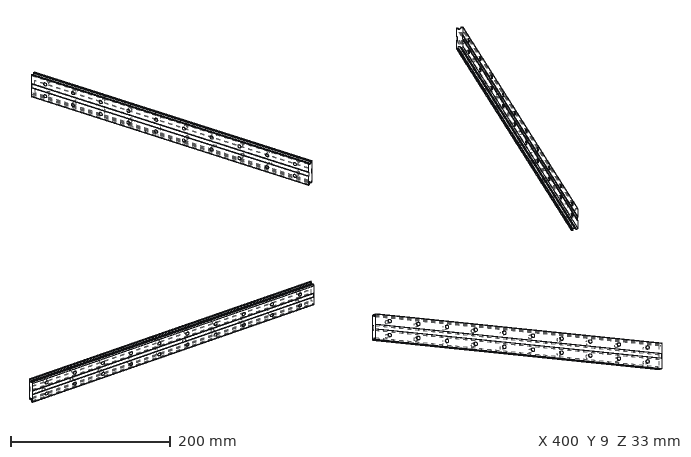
import cadquery as cq

length = 400.0
thickness = 9.0
height = 33.0
half_thickness = thickness / 2
half_height = height / 2

face_groove_width = 6.0
face_groove_depth = 0.7

front_lip_inner_y = -2.6
back_lip_inner_y = 1.5
groove_bottom_y = -0.5
front_wall_depth = 2.3
back_wall_depth = 0.9
groove_bottom_depth = 3.0

shoulder_width = 1.8
shoulder_drop = 0.9

hole_diameter = 4.5
hole_pitch = 40.0
holes_per_row = 10
row_spacing = 18.0


def upper_profile():
    """Upper half of the cross-section as (y, z) points, from the front face to the back face."""
    groove_edge_z = face_groove_width / 2
    groove_floor_y = half_thickness - face_groove_depth
    return [
        (-groove_floor_y, groove_edge_z),
        (-half_thickness, groove_edge_z),
        (-half_thickness, half_height),
        (front_lip_inner_y, half_height),
        (front_lip_inner_y, half_height - front_wall_depth),
        (groove_bottom_y, half_height - groove_bottom_depth),
        (back_lip_inner_y, half_height - back_wall_depth),
        (back_lip_inner_y, half_height),
        (half_thickness - shoulder_width, half_height),
        (half_thickness, half_height - shoulder_drop),
        (half_thickness, groove_edge_z),
        (groove_floor_y, groove_edge_z),
    ]


def make_bar():
    """Extrude the cross-section, whose lower half mirrors the upper half, along X."""
    upper = upper_profile()
    lower = [(y, -z) for y, z in reversed(upper)]
    return cq.Workplane("YZ").polyline(upper + lower).close().extrude(length / 2, both=True)


def cut_holes(bar):
    """Drill both rows of holes through the thickness."""
    holes = (
        cq.Workplane("XZ")
        .rarray(hole_pitch, row_spacing, holes_per_row, 2)
        .circle(hole_diameter / 2)
        .extrude(thickness, both=True)
    )
    return bar.cut(holes)


result = cut_holes(make_bar())